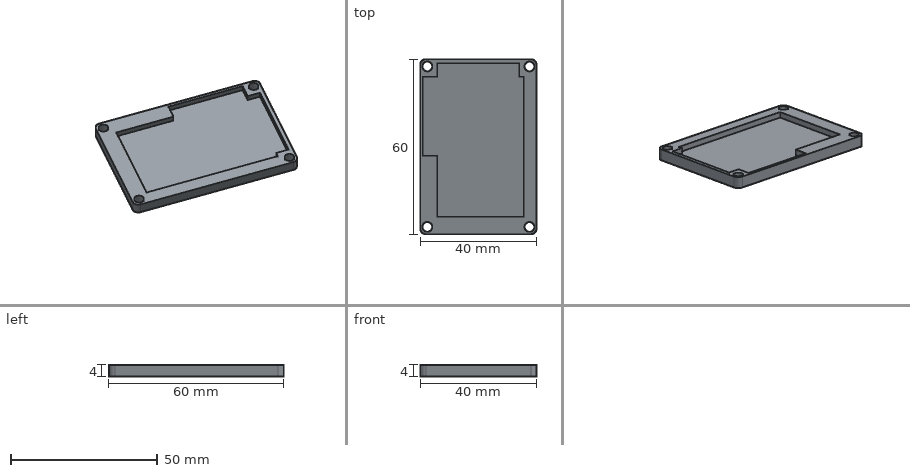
import cadquery as cq

width = 39.95
length = 59.95
thickness = 4.0
corner_radius = 2.05

hole_diameter = 3.3
hole_spacing_x = 34.95
hole_spacing_y = 54.95

pocket_depth = 2.05
pocket_left = -14.05
pocket_right = 15.55
pocket_bottom = -24.0
pocket_top = 28.5
shoulder_y = 24.0
notch_right_x = 14.0
bay_left = -18.95
bay_bottom = -3.1


def make_plate():
    """Rounded rectangular plate standing on Z = 0."""
    plate = cq.Workplane("XY").box(width, length, thickness, centered=(True, True, False))
    return plate.edges("|Z").fillet(corner_radius)


def make_pocket():
    """Pocket volume, open at the top face of the plate."""
    outline = [
        (pocket_left, pocket_bottom),
        (pocket_right, pocket_bottom),
        (pocket_right, shoulder_y),
        (notch_right_x, shoulder_y),
        (notch_right_x, pocket_top),
        (pocket_left, pocket_top),
        (pocket_left, shoulder_y),
        (bay_left, shoulder_y),
        (bay_left, bay_bottom),
        (pocket_left, bay_bottom),
    ]
    floor = cq.Workplane("XY").workplane(offset=thickness - pocket_depth)
    return floor.polyline(outline).close().extrude(pocket_depth)


def make_holes():
    """Four through holes, one near each corner."""
    centres = cq.Workplane("XY").rarray(hole_spacing_x, hole_spacing_y, 2, 2)
    return centres.circle(hole_diameter / 2).extrude(thickness)


result = make_plate().cut(make_pocket()).cut(make_holes())